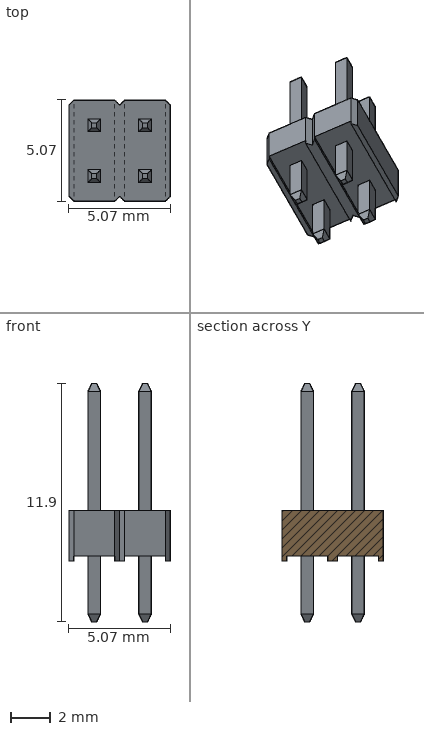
import cadquery as cq

pins_per_side = 2
pitch = 2.54
housing_side = 5.07
housing_height = 2.54
corner_cut = 0.25
channel_depth = 0.25

pin_width = 0.65
pin_length = 11.94
pin_drop = 3.05
tip_length = 0.4
tip_width = 0.25

cell_width = housing_side / pins_per_side
pin_places = [(i - (pins_per_side - 1) / 2) * pitch for i in range(pins_per_side)]
cell_centres = [(i - (pins_per_side - 1) / 2) * cell_width for i in range(pins_per_side)]


def make_cell(centre_x):
    """One housing cell with cut corners; neighbouring cuts form the V notches."""
    cell = (
        cq.Workplane("XY")
        .box(cell_width, housing_side, housing_height, centered=(True, True, False))
        .edges("|Z")
        .chamfer(corner_cut)
    )
    channel_width = cell_width - 2 * corner_cut
    channel = cq.Workplane("XY").box(
        channel_width, housing_side, channel_depth, centered=(True, True, False)
    )
    return cell.cut(channel).translate((centre_x, 0, 0))


def make_tip(base_z, direction):
    """Square taper that narrows away from the shaft, up (1) or down (-1)."""
    return (
        cq.Workplane("XY", origin=(0, 0, base_z))
        .rect(pin_width, pin_width)
        .workplane(offset=direction * tip_length)
        .rect(tip_width, tip_width)
        .loft(combine=True)
    )


def make_pin():
    """Square pin with a blunt taper at each end."""
    shaft_bottom = tip_length - pin_drop
    shaft_length = pin_length - 2 * tip_length
    shaft = cq.Workplane("XY", origin=(0, 0, shaft_bottom)).box(
        pin_width, pin_width, shaft_length, centered=(True, True, False)
    )
    lower_tip = make_tip(shaft_bottom, -1)
    upper_tip = make_tip(shaft_bottom + shaft_length, 1)
    return shaft.union(lower_tip).union(upper_tip)


result = make_cell(cell_centres[0])
for centre_x in cell_centres[1:]:
    result = result.union(make_cell(centre_x))

pin = make_pin()
for x in pin_places:
    for y in pin_places:
        result = result.union(pin.translate((x, y, 0)))